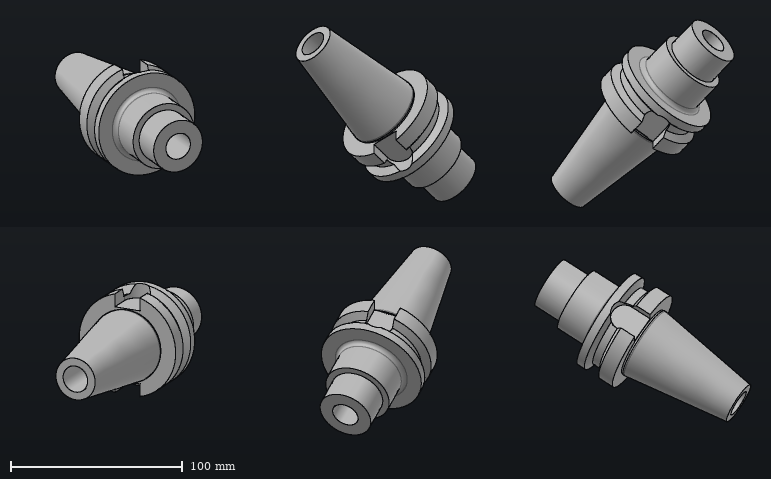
import cadquery as cq

gauge_x = 65.4
relief_x = 66.3
flange_start_x = 67.5
flange_end_x = 92.3
body_end_x = 113.8
total_length = 132.3

taper_small_diameter = 25.7
taper_large_diameter = 44.5
relief_diameter = 43.7
flange_diameter = 63.0
groove_diameter = 52.9
body_diameter = 40.0
nose_diameter = 32.0
bore_diameter = 16.0

groove_start_x = 77.1
groove_end_x = 87.0
groove_floor_width = 5.0

body_fillet = 2.6

slot_width = 16.3
slot_end_x = 88.2
slot_floor_height = 22.5


def revolved_body():
    """Taper, grooved flange, body and nose turned about the X axis."""
    groove_side = (groove_end_x - groove_start_x - groove_floor_width) / 2
    flange_radius = flange_diameter / 2
    groove_radius = groove_diameter / 2
    body_radius = body_diameter / 2
    taper_large_radius = taper_large_diameter / 2
    relief_radius = relief_diameter / 2
    nose_radius = nose_diameter / 2
    profile = (
        cq.Workplane("XY")
        .moveTo(0, 0)
        .lineTo(0, taper_small_diameter / 2)
        .lineTo(gauge_x, taper_large_radius)
        .lineTo(relief_x, taper_large_radius)
        .lineTo(flange_start_x, relief_radius)
        .lineTo(flange_start_x, flange_radius)
        .lineTo(groove_start_x, flange_radius)
        .lineTo(groove_start_x + groove_side, groove_radius)
        .lineTo(groove_end_x - groove_side, groove_radius)
        .lineTo(groove_end_x, flange_radius)
        .lineTo(flange_end_x, flange_radius)
        .lineTo(flange_end_x, body_radius + body_fillet)
        .radiusArc((flange_end_x + body_fillet, body_radius), -body_fillet)
        .lineTo(body_end_x, body_radius)
        .lineTo(body_end_x, nose_radius)
        .lineTo(total_length, nose_radius)
        .lineTo(total_length, 0)
        .close()
    )
    return profile.revolve(360, (0, 0, 0), (1, 0, 0))


def drive_slot(side):
    """Round-ended cutter for one drive slot; side is +1 for +Z, -1 for -Z."""
    slot_radius = slot_width / 2
    arc_center_x = slot_end_x - slot_radius
    slot_depth = flange_diameter / 2 - slot_floor_height
    return (
        cq.Workplane("XY", origin=(0, 0, side * slot_floor_height))
        .moveTo(flange_start_x, -slot_radius)
        .lineTo(arc_center_x, -slot_radius)
        .threePointArc((slot_end_x, 0), (arc_center_x, slot_radius))
        .lineTo(flange_start_x, slot_radius)
        .close()
        .extrude(side * slot_depth)
    )


def through_bore():
    return cq.Workplane("YZ").circle(bore_diameter / 2).extrude(total_length)


result = revolved_body()
for side in (1, -1):
    result = result.cut(drive_slot(side))
result = result.cut(through_bore())